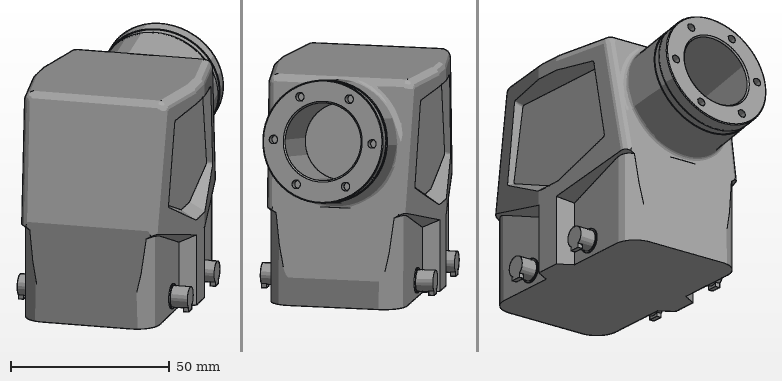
import cadquery as cq
import math

OVERALL_WIDTH = 56.0
LENGTH = 74.0
HEIGHT = 72.25
BASE_WIDTH = 44.0
RIB_WIDTH = 54.0
RIB_FACE_LENGTH = 9.3
BASE_CORNER_RADIUS = 7.5
HOOD_EDGE_RADIUS = 3.0
SIDE_TAPER = 9.0
WALL_DRAFT = 30.0
V_ANGLE = 20.0

UPRIGHT_TOP = 9.0
LOWER_LEAN = 4.5
KNEE_Z = 32.0
UPPER_LEAN = 11.0

WINDOW_TOP = 63.4
WINDOW_BOTTOM = 31.0
WINDOW_BOTTOM_LENGTH = 9.5
WINDOW_CORNER_Z = 38.3
WINDOW_CORNER_HALF = 24.55
WINDOW_CORNER_RADIUS = 1.0

PANEL_START_Y = 7.5
PANEL_START_Z = 21.1

PIN_SPACING = 31.0
PIN_Z = 5.55
PIN_RADIUS = 3.45
PIN_COLLAR_RADIUS = 4.0
PIN_COLLAR_HEIGHT = 0.4
PIN_KEY_WIDTH = 3.8
PIN_KEY_LENGTH = 1.7
PIN_KEY_BOTTOM = 1.25

NECK_RADIUS = 19.5
NECK_END_Y = 53.17
NECK_END_Z = 56.84
NECK_LENGTH = 35.0
NECK_EDGE_CHAMFER = 0.3
NECK_ROOT_RADIUS = 2.0
GROOVE_START = 4.3
GROOVE_LENGTH = 2.5
GROOVE_OUTER_CLEARANCE = 1.0
GROOVE_DEPTH = 0.35
BORE_RADIUS = 12.3
BORE_CHAMFER = 0.5
BORE_DEPTH = 30.0
SCREW_HOLE_COUNT = 6
HOLE_CIRCLE_RADIUS = 16.0
SCREW_HOLE_RADIUS = 1.35
SCREW_HOLE_DEPTH = 4.0

half_length = LENGTH / 2
half_base = BASE_WIDTH / 2
half_rib = RIB_WIDTH / 2
knee_y = half_length - (KNEE_Z - UPRIGHT_TOP) * math.tan(math.radians(LOWER_LEAN))
upper_slope = math.tan(math.radians(UPPER_LEAN))
top_y = knee_y - (HEIGHT - KNEE_Z) * upper_slope
draft_slope = math.tan(math.radians(WALL_DRAFT))
v_slope = math.tan(math.radians(V_ANGLE))
BEYOND = 10.0


def mirrored_y(points):
    """Close a right-hand outline with its mirror image across Y = 0."""
    return points + [(-y, z) for y, z in reversed(points)]


def end_trim():
    """Everything outside the upright and slightly leaning parts of both end faces."""
    reach = half_length + BEYOND
    outline = [
        (half_length, -BEYOND),
        (half_length, UPRIGHT_TOP),
        (knee_y, KNEE_Z),
        (reach, KNEE_Z),
        (reach, -BEYOND),
    ]
    back = cq.Workplane("YZ").polyline(outline).close().extrude(OVERALL_WIDTH / 2, both=True)
    return back.union(back.mirror("XZ"))


def base():
    """Upright round-cornered column that carries the hood."""
    column = cq.Workplane("XY").rect(BASE_WIDTH, LENGTH).extrude(KNEE_Z)
    return column.edges("|Z").fillet(BASE_CORNER_RADIUS)


def hood_block():
    """Hexagonal block with leaning end faces and rounded edges."""
    foot_y = knee_y + KNEE_Z * upper_slope
    outline = mirrored_y([(foot_y, 0), (top_y, HEIGHT)])
    wedge = cq.Workplane("YZ").polyline(outline).close().extrude(OVERALL_WIDTH / 2, both=True)
    reach = foot_y + BEYOND
    half_flat = RIB_FACE_LENGTH / 2
    narrow = half_rib - (reach - half_flat) * math.tan(math.radians(SIDE_TAPER))
    side = [(narrow, -reach), (half_rib, -half_flat), (half_rib, half_flat), (narrow, reach)]
    plan = side + [(-x, y) for x, y in reversed(side)]
    prism = cq.Workplane("XY").polyline(plan).close().extrude(HEIGHT)
    block = wedge.intersect(prism)
    block = block.edges("not (#Z or |Z)").fillet(HOOD_EDGE_RADIUS)
    block = block.faces(">Z").edges().fillet(HOOD_EDGE_RADIUS)
    return block


def on_both_sides(solid):
    """The given right-hand (+X) solid together with its mirror image."""
    return solid.union(solid.mirror("YZ"))


def widening_prism(outline, root_x, depth):
    """Solid growing from an outline at root_x towards +X, all its walls sloping by WALL_DRAFT."""
    root = cq.Workplane("YZ", origin=(root_x, 0, 0)).polyline(outline).close()
    mouth = root.offset2D(depth * draft_slope, "intersection").val()
    wires = [root.val(), mouth.translate(cq.Vector(depth, 0, 0))]
    return cq.Workplane(cq.Solid.makeLoft(wires, True))


def panel_cut():
    """Space beside one rib and under the hood's V-shaped lower edge, widening outward."""
    root_x = half_base - BASE_CORNER_RADIUS
    inset = BASE_CORNER_RADIUS * draft_slope
    start_y = PANEL_START_Y + inset
    start_z = PANEL_START_Z + inset * v_slope - inset / math.cos(math.radians(V_ANGLE))
    end_y = half_length + BEYOND
    end_z = start_z + (end_y - start_y) * v_slope
    outline = [(start_y, -BEYOND), (start_y, start_z), (end_y, end_z), (end_y, -BEYOND)]
    return widening_prism(outline, root_x, OVERALL_WIDTH / 2 - root_x)


def window_cut():
    """Recess in the +X side, flush with the base side and widening outward."""
    top_half = WINDOW_CORNER_HALF - (WINDOW_TOP - WINDOW_CORNER_Z) * upper_slope
    outline = mirrored_y([
        (WINDOW_BOTTOM_LENGTH / 2, WINDOW_BOTTOM),
        (WINDOW_CORNER_HALF, WINDOW_CORNER_Z),
        (top_half, WINDOW_TOP),
    ])
    recess = widening_prism(outline, half_base, OVERALL_WIDTH / 2 - half_base)
    outer_corners = [
        edge for edge in recess.edges("not #X").vals() if abs(edge.Center().y) > WINDOW_BOTTOM_LENGTH
    ]
    return recess.newObject(outer_corners).fillet(WINDOW_CORNER_RADIUS)


def pin(y):
    """Locking pin with a root collar and a key under its outer end."""
    start = cq.Workplane("YZ", origin=(0, y, PIN_Z))
    shaft = start.circle(PIN_RADIUS).extrude(OVERALL_WIDTH / 2)
    collar = start.circle(PIN_COLLAR_RADIUS).extrude(half_base + PIN_COLLAR_HEIGHT)
    key_height = PIN_Z - PIN_KEY_BOTTOM
    key = cq.Workplane("XY").box(PIN_KEY_LENGTH, PIN_KEY_WIDTH, key_height, centered=(False, True, False))
    key = key.translate((OVERALL_WIDTH / 2 - PIN_KEY_LENGTH, y, PIN_KEY_BOTTOM))
    return shaft.union(collar).union(key)


def neck_plane():
    """Plane of the neck's end face, its normal pointing out of the neck."""
    lean = math.radians(UPPER_LEAN)
    return cq.Plane(
        origin=(0, NECK_END_Y, NECK_END_Z), xDir=(1, 0, 0), normal=(0, math.cos(lean), math.sin(lean)))


def add_neck(hood):
    """Join the neck (normal to the leaning back face) to the hood with a rounded root."""
    neck = cq.Workplane(neck_plane()).circle(NECK_RADIUS).extrude(-NECK_LENGTH)
    neck = neck.faces(">Y").chamfer(NECK_EDGE_CHAMFER)
    joined = hood.union(neck)
    neck_wall = max(joined.faces("%CYLINDER").vals(), key=lambda face: face.Area())
    root = [edge for edge in neck_wall.Edges() if edge.geomType() != "LINE" and edge.Center().y < knee_y]
    return joined.newObject(root).fillet(NECK_ROOT_RADIUS)


def neck_details():
    """Material to remove from the neck: groove, bore and ring of screw holes."""
    end = cq.Workplane(neck_plane())
    groove = (
        end.workplane(offset=-GROOVE_START)
        .circle(NECK_RADIUS + GROOVE_OUTER_CLEARANCE).circle(NECK_RADIUS - GROOVE_DEPTH)
        .extrude(-GROOVE_LENGTH)
    )
    bore = end.circle(BORE_RADIUS).extrude(-BORE_DEPTH)
    bore_mouth = cq.Workplane(cq.Solid.makeCone(
        BORE_RADIUS + BORE_CHAMFER, BORE_RADIUS, BORE_CHAMFER,
        pnt=end.plane.origin, dir=end.plane.zDir.multiply(-1)))
    removed = groove.union(bore).union(bore_mouth)
    for step in range(SCREW_HOLE_COUNT):
        angle = math.tau * step / SCREW_HOLE_COUNT
        centre = (HOLE_CIRCLE_RADIUS * math.cos(angle), HOLE_CIRCLE_RADIUS * math.sin(angle))
        removed = removed.union(end.moveTo(*centre).circle(SCREW_HOLE_RADIUS).extrude(-SCREW_HOLE_DEPTH))
    return removed


hood = add_neck(hood_block())
panel = panel_cut()
hood = hood.cut(on_both_sides(panel.union(panel.mirror("XZ"))))
hood = hood.cut(on_both_sides(window_cut()))
result = hood.union(base()).cut(end_trim())
result = result.cut(neck_details())
for y in (-PIN_SPACING / 2, PIN_SPACING / 2):
    result = result.union(on_both_sides(pin(y)))